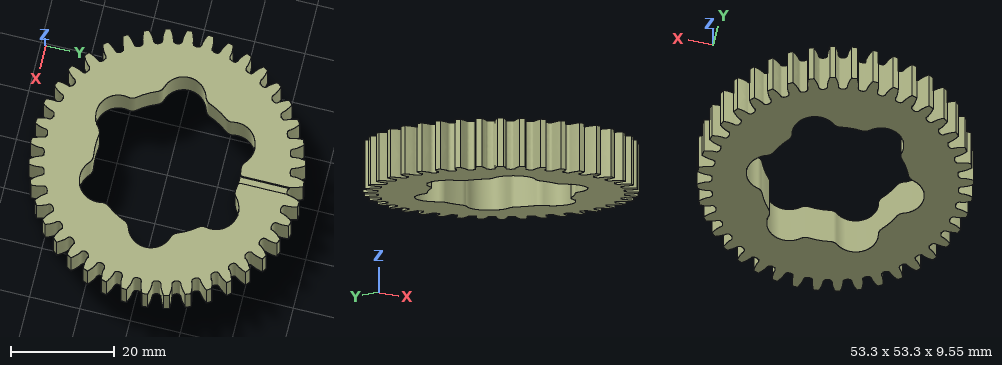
import cadquery as cq
import math

TEETH = 40
TIP_RADIUS = 26.7
THICKNESS = 9.55
PRESSURE_ANGLE = math.radians(14.5)
BACKLASH = 0.08
ROOT_FILLET = 0.7
DEDENDUM_FACTOR = 1.25

MODULE = 2 * TIP_RADIUS / (TEETH + 2)
PITCH_RADIUS = MODULE * TEETH / 2
BASE_RADIUS = PITCH_RADIUS * math.cos(PRESSURE_ANGLE)
ROOT_RADIUS = PITCH_RADIUS - DEDENDUM_FACTOR * MODULE
TOOTH_PITCH = 2 * math.pi / TEETH
FLANK_STEPS = 5
CORNER_STEPS = 2

LOBES = 6
BORE_RADIUS = 14.25
LOBE_RADIUS = 4.35
LOBE_REACH = 17.45
BORE_FILLET = 1.85

SLOT_WIDTH = 1.45
SLOT_DEPTH = 0.8
SLOT_MOUTH_FILLET = 0.65


def polar(radius, angle):
    return (radius * math.cos(angle), radius * math.sin(angle))


def involute(pressure_angle):
    return math.tan(pressure_angle) - pressure_angle


def half_tooth_angle(radius):
    """Angle from the tooth's centre line to its involute flank."""
    at_pitch = TOOTH_PITCH / 4 - BACKLASH / (2 * PITCH_RADIUS)
    local_pressure_angle = math.acos(BASE_RADIUS / radius)
    return at_pitch + involute(PRESSURE_ANGLE) - involute(local_pressure_angle)


def tooth_gap():
    """Cutter for the gap centred on +X, with flanks and rounded root as one smooth wall."""
    flank = []
    for step in range(FLANK_STEPS + 1):
        radius = BASE_RADIUS + (TIP_RADIUS - BASE_RADIUS) * (step / FLANK_STEPS) ** 2
        flank.append(polar(radius, TOOTH_PITCH / 2 - half_tooth_angle(radius)))

    corner_top_radius = ROOT_RADIUS + ROOT_FILLET
    corner_half_width = polar(corner_top_radius, TOOTH_PITCH / 2 - half_tooth_angle(BASE_RADIUS))[1]
    root_corner = []
    for step in range(CORNER_STEPS + 1):
        turn = math.pi / 2 * step / CORNER_STEPS
        root_corner.append((
            corner_top_radius - ROOT_FILLET * math.cos(turn),
            corner_half_width - ROOT_FILLET * (1 - math.sin(turn)),
        ))

    upper_wall = root_corner + flank
    lower_wall = [(x, -y) for x, y in reversed(upper_wall)]
    tip_angle = math.atan2(flank[-1][1], flank[-1][0]) + math.acos(BASE_RADIUS / TIP_RADIUS)
    outer_x = TIP_RADIUS + MODULE

    return (
        cq.Workplane("XY")
        .spline(lower_wall + upper_wall, tangents=[polar(-1, -tip_angle), polar(1, tip_angle)])
        .lineTo(outer_x, flank[-1][1])
        .lineTo(outer_x, -flank[-1][1])
        .close()
        .extrude(THICKNESS)
    )


def gear_blank():
    """Toothed disc with a tooth gap centred on every axis-aligned direction."""
    gap = tooth_gap().val()
    gaps = [
        gap.rotate((0, 0, 0), (0, 0, 1), math.degrees(index * TOOTH_PITCH))
        for index in range(TEETH)
    ]
    disc = cq.Workplane("XY").circle(TIP_RADIUS).extrude(THICKNESS).val()
    return cq.Workplane("XY").newObject([disc.cut(*gaps)])


def lobed_bore():
    """Cutter for the bore: a cylinder with lobes blended into it."""
    lobe_centre_radius = LOBE_REACH - LOBE_RADIUS
    lobes = (
        cq.Workplane("XY")
        .polarArray(lobe_centre_radius, 0, 360, LOBES)
        .circle(LOBE_RADIUS)
        .extrude(THICKNESS)
    )
    bore = cq.Workplane("XY").circle(BORE_RADIUS).extrude(THICKNESS).union(lobes)
    return bore.edges("|Z").fillet(BORE_FILLET)


def cut_slot(gear):
    """Cut the slot along +Y from the bore into a tooth gap and round its mouth."""
    slot = (
        cq.Workplane("XY")
        .workplane(offset=THICKNESS - SLOT_DEPTH)
        .center(0, TIP_RADIUS / 2)
        .rect(SLOT_WIDTH, TIP_RADIUS)
        .extrude(SLOT_DEPTH)
    )
    mouth_region = cq.selectors.BoxSelector(
        (-SLOT_WIDTH, 0, THICKNESS - SLOT_DEPTH),
        (SLOT_WIDTH, LOBE_REACH, THICKNESS),
    )
    return gear.cut(slot).edges("|Z").edges(mouth_region).fillet(SLOT_MOUTH_FILLET)


result = cut_slot(gear_blank().cut(lobed_bore()))